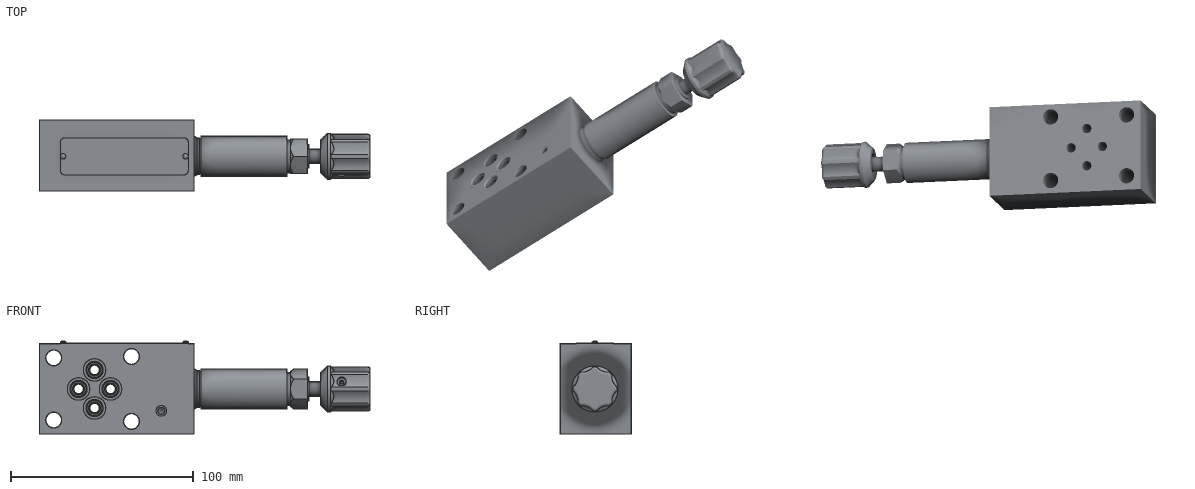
import cadquery as cq
import math


BLOCK_LENGTH = 84.7
BLOCK_HEIGHT = 49.5
BLOCK_FRONT_Y = -19.0
BLOCK_BACK_Y = 20.0
BLOCK_DEPTH = BLOCK_BACK_Y - BLOCK_FRONT_Y
AXIS_Z = BLOCK_HEIGHT / 2

MOUNTING_HOLE_DIAMETER = 8.5
LEFT_HOLE_X = 7.9
RIGHT_HOLE_X = LEFT_HOLE_X + 42.5
MOUNTING_HOLES = [
    (LEFT_HOLE_X, 7.75),
    (LEFT_HOLE_X, 41.75),
    (RIGHT_HOLE_X, 7.0),
    (RIGHT_HOLE_X, 42.5),
]

PORT_CENTRE_X = 30.2
PORT_CENTRE_Z = AXIS_Z
PORT_HALF_SPACING_X = 8.75
PORT_HALF_SPACING_Z = 10.4
PORT_BORE_DIAMETER = 5.2
PORT_MOUTH_DIAMETER = 6.5
PORT_MOUTH_DEPTH = 3.0
SEAL_OUTER_DIAMETER = 12.3
SEAL_LIP_DIAMETER = 9.4
SEAL_INNER_DIAMETER = 8.3
SEAL_PROTRUSION = 0.08
SEAL_SEAT_DEPTH = 1.4

PLUG_X = 66.7
PLUG_Z = 12.8
PLUG_DIAMETER = 5.8
PLUG_RECESS = 0.3
PLUG_SOCKET_DIAMETER = 3.9
PLUG_SOCKET_DEPTH = 2.0
DRILL_POINT_ANGLE = 118.0

PLATE_START_X = 11.5
PLATE_LENGTH = 70.0
PLATE_WIDTH = 20.3
PLATE_THICKNESS = 0.5
PLATE_CORNER_RADIUS = 2.5
RIVET_DIAMETER = 3.0
RIVET_HEIGHT = 1.6
RIVET_EDGE_HEIGHT = 0.8

COLLAR_RADIUS = 11.0
NECK_RADIUS = 10.0
NECK_START_X = 86.3
GROOVE_RADIUS = 9.8
GROOVE_START_X = 87.6
TUBE_START_X = 88.3
TUBE_RADIUS = 11.0
TUBE_END_X = 135.3
NUT_NECK_RADIUS = 9.0
NUT_START_X = 137.3
NUT_END_X = 146.5
NUT_ACROSS_FLATS = 19.0
NUT_CHAMFER_ANGLE = 40.0
WASHER_RADIUS = 6.5
WASHER_END_X = 147.4
ROD_RADIUS = 4.0

KNOB_START_X = 153.8
KNOB_END_X = 180.9
KNOB_FACE_RADIUS = 8.9
KNOB_RIM_RADIUS = 12.6
KNOB_RIM_START_X = 157.6
KNOB_RIM_END_X = 159.1
KNOB_RIM_TAPER_END_X = 161.0
GRIP_RADIUS = 12.1
GRIP_END_FILLET = 1.5
KNOB_RECESS_RADIUS = 6.2
KNOB_RECESS_DEPTH = 3.0
ROD_END_X = KNOB_RIM_END_X
FLUTE_COUNT = 8
FLUTE_RADIUS = 7.5
FLUTE_FLOOR_RADIUS = 10.6
FLUTE_PITCH_ANGLE = 360.0 / FLUTE_COUNT

SET_SCREW_X = 165.3
SET_SCREW_DIAMETER = 5.0
SET_SCREW_RECESS = 0.8
SET_SCREW_SOCKET_DIAMETER = 2.35
SET_SCREW_SOCKET_DEPTH = 2.0


def turned(profile):
    """Solid of revolution about the valve axis from (X, radius) points."""
    return (
        cq.Workplane("XY")
        .polyline(profile)
        .close()
        .revolve(360, (0, 0, 0), (1, 0, 0))
        .translate((0, 0, AXIS_Z))
    )


def front_cylinder(x, z, diameter, start_y, depth):
    """Cylinder along +Y, starting at start_y."""
    return cq.Workplane(
        cq.Solid.makeCylinder(diameter / 2, depth, cq.Vector(x, start_y, z), cq.Vector(0, 1, 0))
    )


def make_block():
    block = cq.Workplane("XY").box(BLOCK_LENGTH, BLOCK_DEPTH, BLOCK_HEIGHT, centered=False)
    block = block.translate((0, BLOCK_FRONT_Y, 0))
    for x, z in MOUNTING_HOLES:
        block = block.cut(front_cylinder(x, z, MOUNTING_HOLE_DIAMETER, BLOCK_FRONT_Y, BLOCK_DEPTH))
    return block


def port_centres():
    return [
        (PORT_CENTRE_X - PORT_HALF_SPACING_X, PORT_CENTRE_Z),
        (PORT_CENTRE_X + PORT_HALF_SPACING_X, PORT_CENTRE_Z),
        (PORT_CENTRE_X, PORT_CENTRE_Z - PORT_HALF_SPACING_Z),
        (PORT_CENTRE_X, PORT_CENTRE_Z + PORT_HALF_SPACING_Z),
    ]


def add_port(block, x, z):
    """Raised seal ring with a bevelled lip round a stepped through bore."""
    seal_face_y = BLOCK_FRONT_Y - SEAL_PROTRUSION
    lip_bevel = (SEAL_LIP_DIAMETER - SEAL_INNER_DIAMETER) / 2
    seat_floor_y = BLOCK_FRONT_Y + SEAL_SEAT_DEPTH
    bevel = cq.Workplane(
        cq.Solid.makeCone(
            SEAL_LIP_DIAMETER / 2,
            SEAL_INNER_DIAMETER / 2,
            lip_bevel,
            cq.Vector(x, seal_face_y, z),
            cq.Vector(0, 1, 0),
        )
    )
    seat_depth = SEAL_SEAT_DEPTH + SEAL_PROTRUSION
    return (
        block.union(front_cylinder(x, z, SEAL_OUTER_DIAMETER, seal_face_y, seat_depth))
        .cut(bevel)
        .cut(front_cylinder(x, z, SEAL_INNER_DIAMETER, seal_face_y, seat_depth))
        .cut(front_cylinder(x, z, PORT_MOUTH_DIAMETER, seat_floor_y, PORT_MOUTH_DEPTH))
        .cut(front_cylinder(x, z, PORT_BORE_DIAMETER, seat_floor_y, BLOCK_DEPTH))
    )


def cut_plug_hole(block):
    """Shallow recess with a smaller drilled socket in its floor."""
    socket_floor_y = BLOCK_FRONT_Y + PLUG_SOCKET_DEPTH
    socket_radius = PLUG_SOCKET_DIAMETER / 2
    point_depth = socket_radius / math.tan(math.radians(DRILL_POINT_ANGLE / 2))
    point = cq.Workplane(
        cq.Solid.makeCone(
            socket_radius,
            0,
            point_depth,
            cq.Vector(PLUG_X, socket_floor_y, PLUG_Z),
            cq.Vector(0, 1, 0),
        )
    )
    socket = front_cylinder(PLUG_X, PLUG_Z, PLUG_SOCKET_DIAMETER, BLOCK_FRONT_Y, PLUG_SOCKET_DEPTH)
    recess = front_cylinder(PLUG_X, PLUG_Z, PLUG_DIAMETER, BLOCK_FRONT_Y, PLUG_RECESS)
    return block.cut(recess).cut(socket.union(point))


def make_name_plate():
    plate = (
        cq.Workplane("XY")
        .box(PLATE_LENGTH, PLATE_WIDTH, PLATE_THICKNESS, centered=(False, True, False))
        .edges("|Z")
        .fillet(PLATE_CORNER_RADIUS)
        .translate((PLATE_START_X, 0, BLOCK_HEIGHT))
    )
    rivet_radius = RIVET_DIAMETER / 2
    dome_height = RIVET_HEIGHT - RIVET_EDGE_HEIGHT
    dome_radius = (rivet_radius**2 + dome_height**2) / (2 * dome_height)
    dome_mid_angle = math.asin(rivet_radius / dome_radius) / 2
    dome_mid = (
        dome_radius * math.sin(dome_mid_angle),
        RIVET_HEIGHT - dome_radius * (1 - math.cos(dome_mid_angle)),
    )
    rivet = (
        cq.Workplane("XZ")
        .lineTo(rivet_radius, 0)
        .lineTo(rivet_radius, RIVET_EDGE_HEIGHT)
        .threePointArc(dome_mid, (0, RIVET_HEIGHT))
        .close()
        .revolve(360, (0, 0, 0), (0, 1, 0))
    )
    for x in (PLATE_START_X + rivet_radius, PLATE_START_X + PLATE_LENGTH - rivet_radius):
        plate = plate.union(rivet.translate((x, 0, BLOCK_HEIGHT)))
    return plate


def make_cartridge():
    """Grooved neck, tube, nut neck, washer and adjusting rod, one behind the other."""
    return turned(
        [
            (BLOCK_LENGTH, 0),
            (BLOCK_LENGTH, COLLAR_RADIUS),
            (NECK_START_X, NECK_RADIUS),
            (GROOVE_START_X, NECK_RADIUS),
            (GROOVE_START_X, GROOVE_RADIUS),
            (TUBE_START_X, GROOVE_RADIUS),
            (TUBE_START_X, TUBE_RADIUS),
            (TUBE_END_X, TUBE_RADIUS),
            (TUBE_END_X, NUT_NECK_RADIUS),
            (NUT_END_X, NUT_NECK_RADIUS),
            (NUT_END_X, WASHER_RADIUS),
            (WASHER_END_X, WASHER_RADIUS),
            (WASHER_END_X, ROD_RADIUS),
            (ROD_END_X, ROD_RADIUS),
            (ROD_END_X, 0),
        ]
    )


def make_nut():
    """Hexagon nut with a corner up, chamfered on the side facing the tube."""
    corner_radius = NUT_ACROSS_FLATS / 2 / math.cos(math.pi / 6)
    start_radius = NUT_ACROSS_FLATS / 2
    chamfer_length = (corner_radius - start_radius) / math.tan(math.radians(NUT_CHAMFER_ANGLE))
    hexagon = (
        cq.Workplane("YZ", origin=(NUT_START_X, 0, AXIS_Z))
        .transformed(rotate=(0, 0, 90))
        .polygon(6, 2 * corner_radius)
        .extrude(NUT_END_X - NUT_START_X)
    )
    chamfered_blank = turned(
        [
            (NUT_START_X, 0),
            (NUT_START_X, start_radius),
            (NUT_START_X + chamfer_length, corner_radius),
            (NUT_END_X, corner_radius),
            (NUT_END_X, 0),
        ]
    )
    return hexagon.intersect(chamfered_blank)


def make_knob():
    """Fluted grip behind a conical rim that is hollow round the rod."""
    rim = turned(
        [
            (KNOB_START_X + KNOB_RECESS_DEPTH, 0),
            (KNOB_START_X + KNOB_RECESS_DEPTH, KNOB_RECESS_RADIUS),
            (KNOB_START_X, KNOB_RECESS_RADIUS),
            (KNOB_START_X, KNOB_FACE_RADIUS),
            (KNOB_RIM_START_X, KNOB_RIM_RADIUS),
            (KNOB_RIM_END_X, KNOB_RIM_RADIUS),
            (KNOB_RIM_TAPER_END_X, FLUTE_FLOOR_RADIUS),
            (KNOB_RIM_TAPER_END_X, 0),
        ]
    )
    grip_length = KNOB_END_X - KNOB_RIM_START_X
    grip = cq.Workplane("YZ", origin=(KNOB_RIM_START_X, 0, AXIS_Z)).circle(GRIP_RADIUS).extrude(grip_length)
    flute = (
        cq.Workplane("YZ", origin=(KNOB_RIM_START_X, 0, AXIS_Z))
        .center(0, FLUTE_FLOOR_RADIUS + FLUTE_RADIUS)
        .circle(FLUTE_RADIUS)
        .extrude(grip_length)
    )
    axis_start = (0, 0, AXIS_Z)
    axis_end = (1, 0, AXIS_Z)
    for i in range(FLUTE_COUNT):
        grip = grip.cut(flute.rotate(axis_start, axis_end, (i + 0.5) * FLUTE_PITCH_ANGLE))

    knob = rim.union(grip.faces(">X").edges().fillet(GRIP_END_FILLET))

    floor_y = -FLUTE_FLOOR_RADIUS
    hole = front_cylinder(
        SET_SCREW_X, AXIS_Z, SET_SCREW_DIAMETER, -GRIP_RADIUS, GRIP_RADIUS + floor_y + SET_SCREW_RECESS
    )
    socket = front_cylinder(
        SET_SCREW_X, AXIS_Z, SET_SCREW_SOCKET_DIAMETER, floor_y, SET_SCREW_RECESS + SET_SCREW_SOCKET_DEPTH
    )
    screw_hole = hole.union(socket).rotate(axis_start, axis_end, -FLUTE_PITCH_ANGLE / 2)
    return knob.cut(screw_hole)


body = make_block()
for port_x, port_z in port_centres():
    body = add_port(body, port_x, port_z)
body = cut_plug_hole(body)

result = (
    body.union(make_name_plate())
    .union(make_cartridge())
    .union(make_nut())
    .union(make_knob())
)